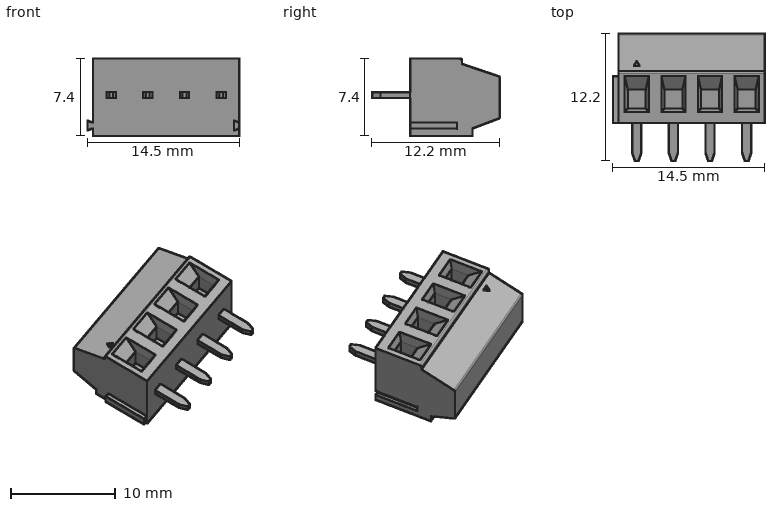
import cadquery as cq

poles = 4
pitch = 3.5
total_length = 14.5
body_length = poles * pitch
body_height = 7.4
body_depth = 8.57

top_depth = 4.96
top_step = 0.51
back_top = 5.67
back_bottom = 1.7
base_depth = 5.96
base_step = 0.71
edge_radius = 0.2

funnel_width = 2.3
funnel_front = 1.09
funnel_back = 4.5
funnel_depth = 0.93
well_width = 1.71
well_front = 1.4
well_back = 3.19
well_depth = 2.9

pin_length = 3.62
pin_width = 0.9
pin_thickness = 0.6
pin_height = 3.9
tip_length = 0.8
tip_width = 0.35

dovetail_reach = total_length - body_length
dovetail_length = 4.5
dovetail_height = 1.0
dovetail_outer = 0.95
dovetail_neck = 0.55

mark_width = 0.57
mark_length = 0.48
mark_front = 5.44
mark_depth = 0.1

pole_places = [(pole + 0.5) * pitch for pole in range(poles)]


def make_body():
    """Extrude the stepped and sloped side profile along X, with three rounded edges."""
    profile = [
        (0, 0),
        (base_depth, 0),
        (base_depth, base_step),
        (body_depth, back_bottom),
        (body_depth, back_top),
        (top_depth, body_height - top_step),
        (top_depth, body_height),
        (0, body_height),
    ]
    body = cq.Workplane("YZ").polyline(profile).close().extrude(body_length)
    body = body.faces(">Y").edges("|X").fillet(edge_radius)
    return body.faces(">Z").edges(">Y").fillet(edge_radius)


def make_funnel(x):
    """Tapered mouth leading into a straight rectangular well."""
    mouth_middle = (funnel_front + funnel_back) / 2
    well_middle = (well_front + well_back) / 2
    mouth = (
        cq.Workplane("XY", origin=(x, 0, body_height))
        .center(0, mouth_middle)
        .rect(funnel_width, funnel_back - funnel_front)
        .workplane(offset=-funnel_depth)
        .center(0, well_middle - mouth_middle)
        .rect(well_width, well_back - well_front)
        .loft(ruled=True)
    )
    well = (
        cq.Workplane("XY", origin=(x, well_middle, body_height - well_depth))
        .rect(well_width, well_back - well_front)
        .extrude(well_depth - funnel_depth)
    )
    return mouth.union(well)


def make_pin(x):
    """Flat pin standing out of the front face, narrowing to its tip."""
    outline = [
        (-pin_width / 2, 0),
        (-pin_width / 2, tip_length - pin_length),
        (-tip_width / 2, -pin_length),
        (tip_width / 2, -pin_length),
        (pin_width / 2, tip_length - pin_length),
        (pin_width / 2, 0),
    ]
    return (
        cq.Workplane("XY", origin=(x, 0, pin_height - pin_thickness / 2))
        .polyline(outline)
        .close()
        .extrude(pin_thickness)
    )


def make_dovetail(x):
    """Dovetail bar whose neck lies in the plane at x and whose wide side faces -X."""
    outline = [
        (0, -dovetail_neck / 2),
        (0, dovetail_neck / 2),
        (-dovetail_reach, dovetail_outer / 2),
        (-dovetail_reach, -dovetail_outer / 2),
    ]
    return (
        cq.Workplane("XZ", origin=(x, 0, dovetail_height))
        .polyline(outline)
        .close()
        .extrude(-dovetail_length)
    )


def make_mark(x):
    """Upright triangular cutter whose floor runs parallel to the sloping top, pointing to the back."""
    slope = (body_height - top_step - back_top) / (body_depth - top_depth)
    mark_back = mark_front + mark_length
    triangle = [
        (x - mark_width / 2, mark_front),
        (x + mark_width / 2, mark_front),
        (x, mark_back),
    ]
    floor_front = body_height - top_step - slope * (mark_front - top_depth) - mark_depth
    floor_back = floor_front - slope * mark_length
    side = [
        (mark_front, floor_front),
        (mark_back, floor_back),
        (mark_back, body_height),
        (mark_front, body_height),
    ]
    prism = cq.Workplane("XY").polyline(triangle).close().extrude(body_height)
    band = cq.Workplane("YZ").polyline(side).close().extrude(body_length)
    return prism.intersect(band)


result = make_body().cut(make_mark(pole_places[0]))
for place in pole_places:
    result = result.cut(make_funnel(place)).union(make_pin(place))
result = result.union(make_dovetail(0)).cut(make_dovetail(body_length))